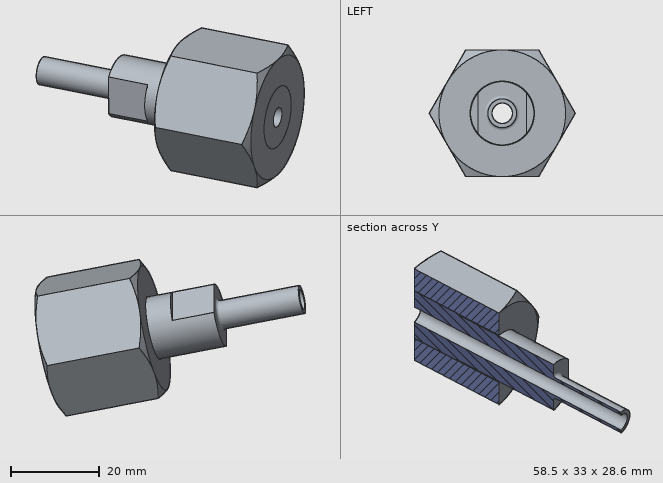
import cadquery as cq
import math

TOTAL_LENGTH = 58.55

NUT_LENGTH = 24.0
NUT_ACROSS_FLATS = 28.6
NUT_ACROSS_CORNERS = NUT_ACROSS_FLATS / math.cos(math.radians(30))
NUT_START = TOTAL_LENGTH - NUT_LENGTH
CORNER_BEVEL_ANGLE = 30.0
NUT_HOLE_DIAMETER = 14.5

TUBE_DIAMETER = 6.5
BORE_DIAMETER = 4.55
COLLAR_START = 19.1
COLLAR_DIAMETER = 14.3
TUBE_FILLET = 0.7
SEAT_START = NUT_START + NUT_LENGTH / 2
WRENCH_FLAT_LENGTH = 9.7
WRENCH_FLAT_WIDTH = 11.0


def make_nut():
    hexagon = (
        cq.Workplane("YZ", origin=(NUT_START, 0, 0))
        .polygon(6, NUT_ACROSS_CORNERS)
        .extrude(NUT_LENGTH)
    )
    face_radius = NUT_ACROSS_FLATS / 2
    corner_radius = NUT_ACROSS_CORNERS / 2
    bevel_length = (corner_radius - face_radius) * math.tan(math.radians(CORNER_BEVEL_ANGLE))
    beveled_blank = (
        cq.Workplane("XY")
        .polyline([
            (NUT_START, 0),
            (NUT_START, face_radius),
            (NUT_START + bevel_length, corner_radius),
            (TOTAL_LENGTH - bevel_length, corner_radius),
            (TOTAL_LENGTH, face_radius),
            (TOTAL_LENGTH, 0),
        ])
        .close()
        .revolve(360, (0, 0, 0), (1, 0, 0))
    )
    hole = (
        cq.Workplane("YZ", origin=(NUT_START, 0, 0))
        .circle(NUT_HOLE_DIAMETER / 2)
        .extrude(NUT_LENGTH)
    )
    return hexagon.intersect(beveled_blank).cut(hole)


def make_stem():
    tube_radius = TUBE_DIAMETER / 2
    collar_radius = COLLAR_DIAMETER / 2
    seat_radius = NUT_HOLE_DIAMETER / 2
    fillet_start = COLLAR_START - TUBE_FILLET
    fillet_center_radius = tube_radius + TUBE_FILLET
    fillet_middle = (
        fillet_start + TUBE_FILLET * math.sin(math.radians(45)),
        fillet_center_radius - TUBE_FILLET * math.cos(math.radians(45)),
    )
    stem = (
        cq.Workplane("XY")
        .moveTo(0, BORE_DIAMETER / 2)
        .lineTo(0, tube_radius)
        .lineTo(fillet_start, tube_radius)
        .threePointArc(fillet_middle, (COLLAR_START, fillet_center_radius))
        .lineTo(COLLAR_START, collar_radius)
        .lineTo(SEAT_START, collar_radius)
        .lineTo(SEAT_START, seat_radius)
        .lineTo(TOTAL_LENGTH, seat_radius)
        .lineTo(TOTAL_LENGTH, BORE_DIAMETER / 2)
        .close()
        .revolve(360, (0, 0, 0), (1, 0, 0))
    )
    for side in (-1, 1):
        flat_cutter = (
            cq.Workplane("XY")
            .box(WRENCH_FLAT_LENGTH, COLLAR_DIAMETER, COLLAR_DIAMETER, centered=(False, True, True))
            .translate((COLLAR_START, side * (WRENCH_FLAT_WIDTH + COLLAR_DIAMETER) / 2, 0))
        )
        stem = stem.cut(flat_cutter)
    return stem


nut = make_nut()
stem = make_stem()

result = cq.Compound.makeCompound([nut.val(), stem.val()])